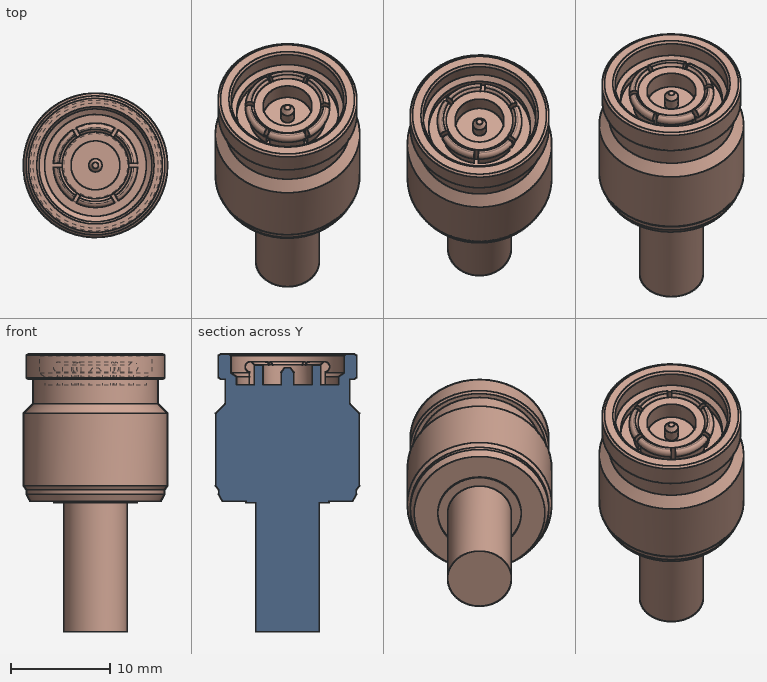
import cadquery as cq

total_height = 28.05

sleeve_radius = 3.23
collar_radius = 4.2
collar_bottom = 13.02

nut_bottom = 13.15
nut_bottom_radius = 6.6
rear_band_bottom = 13.88
rear_band_top = 14.33
rear_band_radius = 6.98
body_bottom = 14.75
body_radius = 7.3
neck_radius = 6.3
neck_bottom = 23.03
body_top = neck_bottom - (body_radius - neck_radius)
head_radius = 7.0
head_bottom = 25.47
head_chamfer_width = 0.25
head_chamfer_height = 0.17

bore_radius = 5.7
bore_lip_chamfer = 0.22
seat_top = total_height - 1.94
seat_bottom = total_height - 2.3
seat_inner_radius = 5.13
cavity_floor = 24.95

ring_top = 27.25
ring_inner_radius = 3.37
ring_outer_radius = 3.85
ring_lip_radius = 3.65
bulge_radius = 4.25
bulge_center = 26.73
slot_count = 6
slot_width = 0.42

insulator_top = 26.93
insulator_bore_radius = 2.47
pin_top = 26.65
pin_radius = 0.67
pin_tip_radius = 0.3
pin_tip_height = 0.48


def cylinder(radius, bottom, top):
    return cq.Workplane("XY").workplane(offset=bottom).circle(radius).extrude(top - bottom)


def revolve_about_z(profile):
    """Revolve a closed profile drawn as (radius, height) in the XZ plane."""
    return profile.close().revolve(360, (0, 0), (0, 1))


def outer_body():
    head_face_radius = head_radius - head_chamfer_width
    outline = [
        (0, 0),
        (sleeve_radius, 0),
        (sleeve_radius, collar_bottom),
        (collar_radius, collar_bottom),
        (collar_radius, nut_bottom),
        (nut_bottom_radius, nut_bottom),
        (rear_band_radius, rear_band_bottom),
        (rear_band_radius, rear_band_top),
        (body_radius, body_bottom),
        (body_radius, body_top),
        (neck_radius, neck_bottom),
        (neck_radius, head_bottom),
        (head_face_radius, head_bottom),
        (head_radius, head_bottom + head_chamfer_height),
        (head_radius, total_height - head_chamfer_height),
        (head_face_radius, total_height),
        (0, total_height),
    ]
    return revolve_about_z(cq.Workplane("XZ").polyline(outline))


def front_cavity():
    outline = [
        (0, cavity_floor),
        (seat_inner_radius, cavity_floor),
        (seat_inner_radius, seat_bottom),
        (bore_radius, seat_top),
        (bore_radius, total_height - bore_lip_chamfer),
        (bore_radius + bore_lip_chamfer, total_height),
        (0, total_height),
    ]
    return revolve_about_z(cq.Workplane("XZ").polyline(outline))


def contact_ring():
    """Ring with a rounded outer bulge, split into fingers by radial slots."""
    bulge_bottom = 2 * bulge_center - ring_top
    ring_lip_chamfer = ring_lip_radius - ring_inner_radius
    profile = (
        cq.Workplane("XZ")
        .moveTo(ring_inner_radius, cavity_floor)
        .lineTo(ring_outer_radius, cavity_floor)
        .lineTo(ring_outer_radius, bulge_bottom)
        .threePointArc((bulge_radius, bulge_center), (ring_outer_radius, ring_top))
        .lineTo(ring_lip_radius, ring_top)
        .lineTo(ring_inner_radius, ring_top - ring_lip_chamfer)
    )
    ring = revolve_about_z(profile)
    slot = cq.Workplane("XY").box(
        body_radius, slot_width, total_height, centered=(False, True, False)
    )
    for i in range(slot_count):
        ring = ring.cut(slot.rotate((0, 0, 0), (0, 0, 1), i * 360 / slot_count))
    return ring


def insulator():
    bore = cylinder(insulator_bore_radius, cavity_floor, insulator_top)
    return cylinder(ring_inner_radius, cavity_floor, insulator_top).cut(bore)


def centre_pin():
    outline = [
        (0, cavity_floor),
        (pin_radius, cavity_floor),
        (pin_radius, pin_top - pin_tip_height),
        (pin_tip_radius, pin_top),
        (0, pin_top),
    ]
    return revolve_about_z(cq.Workplane("XZ").polyline(outline))


shell = outer_body().cut(front_cavity())
result = shell.union(insulator()).union(contact_ring()).union(centre_pin())